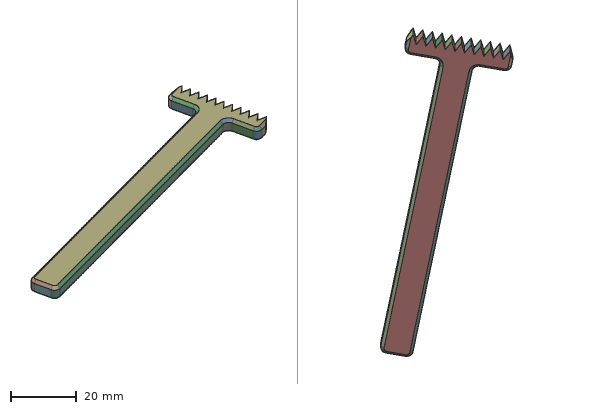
import cadquery as cq

total_length = 107.0
thickness = 5.0

tooth_count = 11
tooth_pitch = 3.0
tooth_depth = 3.0
head_width = tooth_count * tooth_pitch
head_length = 7.0

handle_width = 10.0

corner_radius = 2.0
edge_chamfer = 1.0

cutter_overrun = 1.0

head_bottom = total_length - head_length
tooth_root = total_length - tooth_depth


def tee_blank():
    """T-shaped plate, rounded at every corner except the two at the tooth edge."""
    handle = cq.Workplane("XY").box(
        handle_width, total_length, thickness, centered=(True, False, False)
    )
    head = (
        cq.Workplane("XY")
        .box(head_width, head_length, thickness, centered=(True, False, False))
        .translate((0, head_bottom, 0))
    )
    tee = handle.union(head).clean()
    rounded_edges = tee.edges("|Z").edges("not(>Y)")
    return rounded_edges.fillet(corner_radius)


def chamfer_rim(plate):
    """Chamfer both rims, leaving the straight tooth edge sharp."""
    rims = plate.faces("<Z or >Z").edges("not(>Y)")
    return rims.chamfer(edge_chamfer)


def tooth_gaps():
    """Material outside a row of triangular teeth spanning the head width."""
    left = -head_width / 2
    tool_top = total_length + cutter_overrun
    points = [(left, tool_top), (left, tooth_root)]
    for index in range(tooth_count):
        tooth_start = left + index * tooth_pitch
        points.append((tooth_start + tooth_pitch / 2, total_length))
        points.append((tooth_start + tooth_pitch, tooth_root))
    points.append((head_width / 2, tool_top))
    return cq.Workplane("XY").polyline(points).close().extrude(thickness)


result = chamfer_rim(tee_blank()).cut(tooth_gaps())